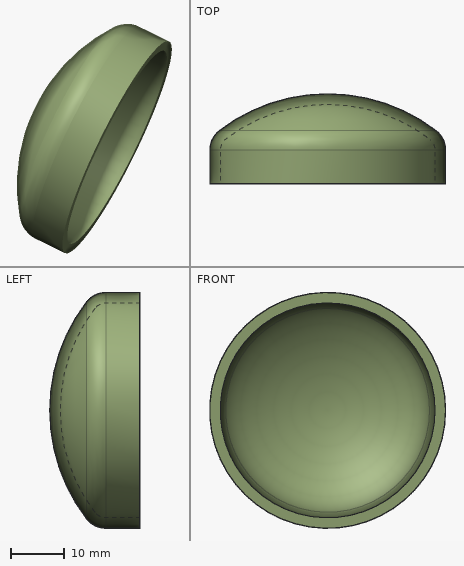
import cadquery as cq
import math

outer_radius = 22.25
height = 17.0
wall = 2.0
skirt_height = 6.35
shoulder_radius = 4.67

rim_y = -height / 2
apex_y = height / 2
shoulder_y = rim_y + skirt_height
shoulder_center_x = outer_radius - shoulder_radius
crown_rise = height - skirt_height
dome_radius = (shoulder_center_x**2 + crown_rise**2 - shoulder_radius**2) / (
    2 * (crown_rise - shoulder_radius)
)
dome_center_y = apex_y - dome_radius

tangent_angle = math.atan2(shoulder_center_x, shoulder_y - dome_center_y)


def dome_point(angle, inset):
    """Point on the dome arc, moved inward from the outer surface by inset."""
    radius = dome_radius - inset
    return (radius * math.sin(angle), dome_center_y + radius * math.cos(angle))


def shoulder_point(angle, inset):
    """Point on the shoulder arc, moved inward from the outer surface by inset."""
    radius = shoulder_radius - inset
    return (
        shoulder_center_x + radius * math.sin(angle),
        shoulder_y + radius * math.cos(angle),
    )


def domed_solid(inset):
    """Solid of revolution bounded by the outer surface offset inward by inset."""
    skirt_radius = outer_radius - inset
    shoulder_mid_angle = (tangent_angle + math.pi / 2) / 2
    return (
        cq.Workplane("XY")
        .moveTo(0, rim_y)
        .lineTo(skirt_radius, rim_y)
        .lineTo(skirt_radius, shoulder_y)
        .threePointArc(shoulder_point(shoulder_mid_angle, inset), dome_point(tangent_angle, inset))
        .threePointArc(dome_point(tangent_angle / 2, inset), (0, apex_y - inset))
        .close()
        .revolve(360, (0, 0, 0), (0, 1, 0))
    )


result = domed_solid(0).cut(domed_solid(wall))